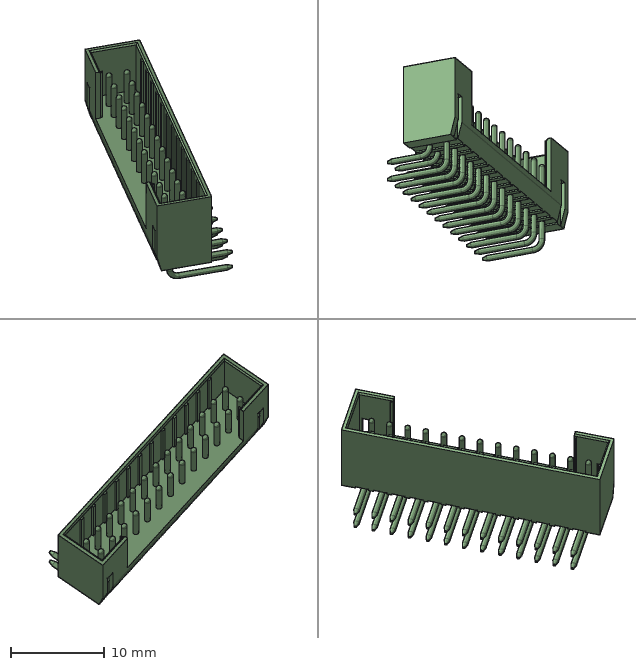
import cadquery as cq


length = 28.6
depth = 6.1
height = 8.87
wall = 0.55
floor_height = 2.63
lead_in = 0.17
bevel_run = 0.51
bevel_rise = 1.97
front = -depth / 2
back = depth / 2

pitch = 2.0
columns = 13
pin_radius = 0.31
pin_top = 6.85
bend_radius = 1.0
tail_overhang = 2.92
lower_tail_z = -2.85
tip_length = 0.57
tip_radius = 0.15

gap_pitches = 10
gap_width = gap_pitches * pitch
ridge_width = 0.3
ridge_height = 0.3
ridge_flat = 0.1

rib_width = 0.4
rib_height = 0.23

slot_width = 0.92
slot_offset = 13.0
slot_top = 4.95

channel_width = 1.43
channel_depth = 0.17

pin_xs = [(i - (columns - 1) / 2) * pitch for i in range(columns)]
cavity_length = length - 2 * wall
cavity_depth = depth - 2 * wall


def box(x, y_min, z_min, width, y_size, z_size):
    """Block centred on x, growing in +Y and +Z from its low corner."""
    block = cq.Workplane("XY").box(width, y_size, z_size, centered=(True, False, False))
    return block.translate((x, y_min, z_min))


def make_shell():
    """Housing block with a bevelled lower front edge and an open-topped cavity."""
    side = [
        (back, 0),
        (back, height),
        (front, height),
        (front, bevel_rise),
        (front + bevel_run, 0),
    ]
    block = cq.Workplane("YZ").polyline(side).close().extrude(length / 2, both=True)
    cavity = box(0, front + wall, floor_height, cavity_length, cavity_depth, height - floor_height)
    funnel = (
        cq.Workplane("XY")
        .workplane(offset=height - lead_in)
        .rect(cavity_length, cavity_depth)
        .workplane(offset=lead_in)
        .rect(cavity_length + 2 * lead_in, cavity_depth + 2 * lead_in)
        .loft(ruled=True)
    )
    return block.cut(cavity).cut(funnel)


def cut_openings(body):
    """Front gap, the two latch slots and the channels under the pin columns."""
    body = body.cut(box(0, front, floor_height, gap_width, wall, height - floor_height))
    for x in (-slot_offset, slot_offset):
        body = body.cut(box(x, front, 0, slot_width, wall, slot_top))
    for x in pin_xs:
        body = body.cut(box(x, front, 0, channel_width, depth, channel_depth))
    return body


def add_ribs(body):
    """Upright ribs midway between columns, and a pointed ridge at each side of the gap."""
    rise = height - lead_in - floor_height
    for x in pin_xs[:-1]:
        rib = box(x + pitch / 2, back - wall - rib_height, floor_height, rib_width, rib_height, rise)
        body = body.union(rib)
    inner_face = front + wall
    edge = -gap_width / 2
    ridge = (
        cq.Workplane("XY")
        .workplane(offset=floor_height)
        .moveTo(edge, inner_face)
        .lineTo(edge - ridge_width + ridge_flat, inner_face + ridge_height)
        .lineTo(edge - ridge_width, inner_face + ridge_height)
        .lineTo(edge - ridge_width, inner_face)
        .close()
        .extrude(rise)
    )
    return body.union(ridge).union(ridge.mirror("YZ"))


def make_pin(y, tail_z):
    """Bent round pin at x = 0 with a domed top and a tapered tail tip."""
    dome_z = pin_top - pin_radius
    tail_end = back + tail_overhang
    taper_start = tail_end - tip_length
    bend_end = y + bend_radius
    path = (
        cq.Workplane("YZ")
        .moveTo(y, dome_z)
        .lineTo(y, tail_z + bend_radius)
        .radiusArc((bend_end, tail_z), -bend_radius)
        .lineTo(taper_start, tail_z)
    )
    shaft = cq.Workplane("XY", origin=(0, y, dome_z)).circle(pin_radius).sweep(path)
    dome = cq.Workplane("XY").sphere(pin_radius).translate((0, y, dome_z))
    tip = cq.Workplane(
        cq.Solid.makeCone(
            pin_radius, tip_radius, tip_length, cq.Vector(0, taper_start, tail_z), cq.Vector(0, 1, 0)
        )
    )
    return shaft.union(dome).union(tip)


front_pin = make_pin(-pitch / 2, lower_tail_z)
back_pin = make_pin(pitch / 2, lower_tail_z + pitch)

result = add_ribs(cut_openings(make_shell()))
for pin_x in pin_xs:
    result = result.union(front_pin.translate((pin_x, 0, 0)))
    result = result.union(back_pin.translate((pin_x, 0, 0)))